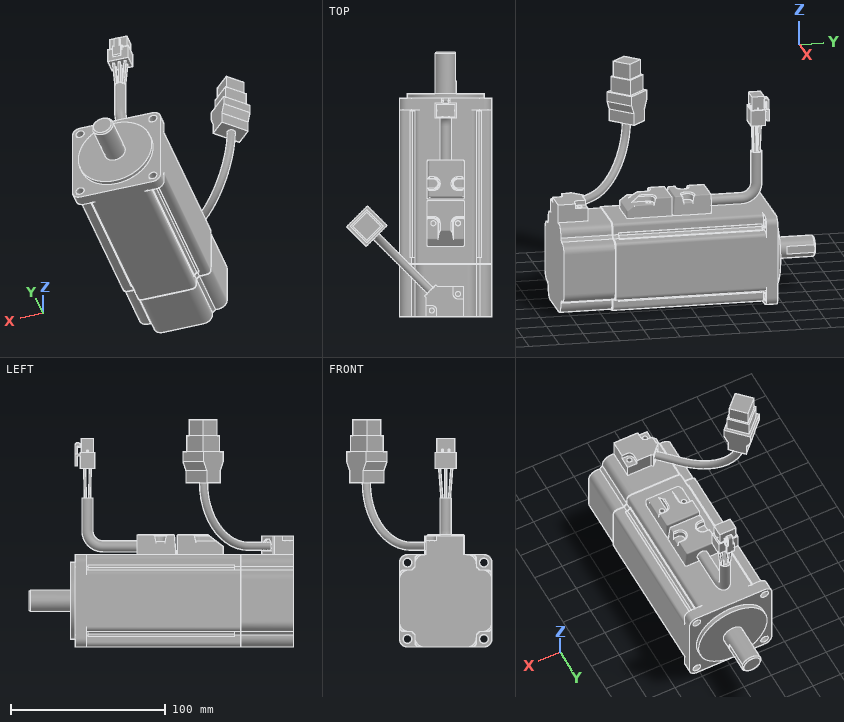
import cadquery as cq
import math


shaft_diameter = 14.0
shaft_tip_y = 30.0
shaft_chamfer = 1.0
shaft_flat_x = 6.5
shaft_flat_start_y = 11.0
pilot_diameter = 50.0
pilot_height = 3.0

frame_size = 60.0
half_frame = frame_size / 2
flange_thickness = 7.5
flange_corner_radius = 5.3
bolt_circle_diameter = 70.0
bolt_pitch = bolt_circle_diameter / math.sqrt(2)
bolt_hole_diameter = 5.5

rear_y = -141.6
stator_front_y = -8.4
stator_rear_y = -103.3
end_bell_rear_y = -107.2
cap_front_y = -107.6
relief_wall = 20.0
relief_chamfer = 2.1
body_round = 3.0
cap_round = 6.3
seam_depth = 0.2
stator_groove_depth = 0.3
stator_groove_end = 23.2
stator_groove_chamfer = 1.8

housing_half_width = 12.1
housing_top_z = 42.9
housing_edge_radius = 1.0
outlet_front_y = -40.0
outlet_rear_y = -65.4
outlet_draft_inset = 1.0
cover_front_y = -66.1
cover_rear_y = -96.1
cover_slope_start_y = -86.0
cover_slope_end_z = 35.2

pocket_x = 8.0
pocket_floor_radius = 3.0
pocket_wall_radius = 3.7
pocket_rim_radius = 4.5
pocket_rim_height = 0.9
outlet_pocket_y = -55.3
outlet_pocket_floor_z = 38.3
cover_pocket_y = -81.0
cover_pocket_floor_z = 38.8
screw_hole_diameter = 3.3

box_left_x = -12.6
box_right_x = 11.7
box_front_y = -122.0
box_top_z = 42.0
box_corner_cut = 7.25
nozzle_thickness = 1.55
box_screws = [(8.0, -126.8, 1), (-9.0, -137.5, -1)]
box_pocket_radius = 3.2
box_pocket_floor_z = 38.9
nozzle_slot_width = 7.0
nozzle_slot_bottom_z = 32.2
nozzle_slot_top_z = 40.1

cable_z = 35.3
power_cable_diameter = 7.4
power_plug_y = -8.0
power_bend_radius = 10.0
power_sheath_end_z = 66.7
wire_diameter = 1.5
wire_overlap = 1.0
wire_bottom_pitch = (2.4, 2.7)
wire_top_pitch = (4.0, 3.7)
plug_base_z = 85.7
plug_shoulder_z = 96.2
plug_top_z = 105.2
plug_base_size = (14.0, 9.6)
plug_top_size = (11.8, 8.1)
window_x = 2.1
window_width = 0.8
window_height = 2.1
cross_window_height = 1.2

latch_outer_y = 0.1
latch_thickness = 1.5
latch_bottom_z = 87.2
latch_stub_z = (93.8, 95.2)
latch_lever_width = 5.4
latch_hook_width = 3.4
hook_outer_radius = 1.75
hook_center_z = 100.8
hook_gap = 0.8
hook_gap_center_z = 99.8
hook_tip_z = 99.4

encoder_cable_diameter = 5.4
encoder_bend_radius = 41.1
encoder_plug_x = -51.1
encoder_plug_y = -82.9
encoder_plug_z = 76.4
encoder_taper_start_z = 84.3
encoder_taper_end_z = 90.2
encoder_shoulder_z = 96.6
encoder_collar_z = 107.0
encoder_top_z = 117.37
encoder_plug_depth = 19.2
encoder_neck_width = 12.4
encoder_plug_width = 18.0
encoder_collar_size = 15.1
encoder_tip_size = 12.9


def block(x_range, y_range, z_range):
    """Axis-aligned box given by its limits."""
    size = [limits[1] - limits[0] for limits in (x_range, y_range, z_range)]
    corner = (x_range[0], y_range[0], z_range[0])
    return cq.Workplane("XY").box(*size, centered=False).translate(corner)


def cross_section(start_y):
    """Sketch plane across the motor axis; extrusion runs toward -Y."""
    return cq.Workplane("XZ", origin=(0, start_y, 0))


def make_shaft():
    shaft = cross_section(shaft_tip_y).circle(shaft_diameter / 2).extrude(shaft_tip_y)
    shaft = shaft.faces(">Y").chamfer(shaft_chamfer)
    flat = block((shaft_flat_x, shaft_diameter), (shaft_flat_start_y, shaft_tip_y),
                 (-shaft_diameter, shaft_diameter))
    pilot = cross_section(pilot_height).circle(pilot_diameter / 2).extrude(pilot_height)
    return shaft.cut(flat).union(pilot)


def make_flange():
    flange = cross_section(0).rect(frame_size, frame_size).extrude(flange_thickness)
    flange = flange.edges("|Y").fillet(flange_corner_radius)
    holes = (cross_section(0).rect(bolt_pitch, bolt_pitch, forConstruction=True)
             .vertices().circle(bolt_hole_diameter / 2).extrude(flange_thickness))
    return flange.cut(holes)


def corner_blocks(start_y, end_y, inner, outer):
    """Four square bars along Y, one per corner, spanning inner to outer in |X| and |Z|."""
    middle = (inner + outer) / 2
    return (cross_section(start_y).rect(2 * middle, 2 * middle, forConstruction=True)
            .vertices().rect(outer - inner, outer - inner).extrude(start_y - end_y))


def chamfered_corner_blocks(start_y, end_y, inner, outer, chamfer):
    """Corner bars with the edge nearest the motor axis chamfered."""
    bars = corner_blocks(start_y, end_y, inner, outer)
    near_axis = cq.selectors.BoxSelector((-inner - chamfer, start_y, -inner - chamfer),
                                         (inner + chamfer, end_y, inner + chamfer))
    return bars.edges("|Y").edges(near_axis).chamfer(chamfer)


def relieved_prism(start_y, end_y, round_radius, inset=0.0):
    """Square prism whose four corners are stepped back around the bolts."""
    size = frame_size - 2 * inset
    prism = cross_section(start_y).rect(size, size).extrude(start_y - end_y)
    prism = prism.cut(chamfered_corner_blocks(start_y, end_y, relief_wall - inset, half_frame,
                                              relief_chamfer))
    outer_edges = "|Y and (>X or <X or >Z or <Z)"
    return prism.edges(outer_edges).fillet(round_radius)


def make_body():
    body = relieved_prism(-flange_thickness, end_bell_rear_y, body_round)
    groove = chamfered_corner_blocks(stator_front_y, stator_rear_y,
                                     relief_wall - stator_groove_depth, stator_groove_end,
                                     stator_groove_chamfer)
    seam = relieved_prism(end_bell_rear_y, cap_front_y, body_round, seam_depth)
    cap = relieved_prism(cap_front_y, rear_y, cap_round)
    return body.cut(groove).union(seam).union(cap)


def screw_pocket(x, y, floor_z):
    """Conical screw recess with a flared rim, open upward."""
    flare_z = housing_top_z - pocket_rim_height
    wall = (cq.Workplane("XY", origin=(x, y, floor_z)).circle(pocket_floor_radius)
            .workplane(offset=flare_z - floor_z).circle(pocket_wall_radius).loft())
    rim = (cq.Workplane("XY", origin=(x, y, flare_z)).circle(pocket_wall_radius)
           .workplane(offset=pocket_rim_height).circle(pocket_rim_radius).loft())
    return wall.union(rim)


def pocket_channel(x, y, floor_z, length, direction):
    """Trench with the pocket's section, running level from (x, y)."""
    flare_z = housing_top_z - pocket_rim_height
    half_section = [(pocket_floor_radius, floor_z), (pocket_wall_radius, flare_z),
                    (pocket_rim_radius, housing_top_z)]
    mirrored = [(-across, z) for across, z in reversed(half_section)]
    across_dir = (-direction[1], direction[0], 0)
    plane = cq.Plane(origin=(x, y, 0), xDir=across_dir, normal=(direction[0], direction[1], 0))
    return cq.Workplane(plane).polyline(half_section + mirrored).close().extrude(length)


def round_open_floors(housing, floor_z, y):
    """Round the outer edge where each pocket floor meets the housing side."""
    for side in (-1, 1):
        outer_edge = cq.selectors.NearestToPointSelector((side * housing_half_width, y, floor_z))
        housing = housing.edges(outer_edge).fillet(housing_edge_radius)
    return housing


def make_outlet_housing():
    length = outlet_front_y - outlet_rear_y
    top_length = length - outlet_draft_inset
    height = housing_top_z - half_frame
    top_shift = outlet_draft_inset / 2
    center_y = (outlet_front_y + outlet_rear_y) / 2
    housing = (cq.Workplane("XY", origin=(0, center_y, half_frame))
               .rect(2 * housing_half_width, length)
               .workplane(offset=height).center(0, top_shift)
               .rect(2 * (housing_half_width - outlet_draft_inset), top_length).loft(ruled=True))
    housing = housing.edges("not <Z").fillet(housing_edge_radius)
    for side in (-1, 1):
        x = side * pocket_x
        housing = housing.cut(screw_pocket(x, outlet_pocket_y, outlet_pocket_floor_z))
        housing = housing.cut(pocket_channel(x, outlet_pocket_y, outlet_pocket_floor_z,
                                             housing_half_width, (side, 0)))
    return round_open_floors(housing, outlet_pocket_floor_z, outlet_pocket_y)


def make_cover_housing():
    side_profile = [(cover_front_y, half_frame), (cover_front_y, housing_top_z),
                    (cover_slope_start_y, housing_top_z), (cover_rear_y, cover_slope_end_z),
                    (cover_rear_y, half_frame)]
    housing = (cq.Workplane("YZ", origin=(-housing_half_width, 0, 0))
               .polyline(side_profile).close().extrude(2 * housing_half_width))
    housing = housing.edges("not <Z").fillet(housing_edge_radius)
    for side in (-1, 1):
        x = side * pocket_x
        tools = [screw_pocket(x, cover_pocket_y, cover_pocket_floor_z),
                 pocket_channel(x, cover_pocket_y, cover_pocket_floor_z,
                                cover_pocket_y - cover_rear_y, (0, -1)),
                 pocket_channel(x, cover_pocket_y, cover_pocket_floor_z,
                                housing_half_width, (side, 0))]
        inner_x = x - side * pocket_floor_radius
        side_clearance = block(sorted((inner_x, 2 * side * housing_half_width)),
                               (cover_rear_y, cover_pocket_y),
                               (cover_pocket_floor_z, housing_top_z))
        hole = (cq.Workplane("XY", origin=(x, cover_pocket_y, half_frame))
                .circle(screw_hole_diameter / 2).extrude(housing_top_z - half_frame))
        for tool in tools + [side_clearance, hole]:
            housing = housing.cut(tool)
    return round_open_floors(housing, cover_pocket_floor_z, cover_pocket_y)


corner_mid_x = box_left_x + box_corner_cut / 2
corner_mid_y = box_front_y - box_corner_cut / 2


def diagonal_plane(x, y, z):
    """Plane facing the encoder cable direction: local x level, local y up."""
    return cq.Plane(origin=(x, y, z), xDir=(-1, -1, 0), normal=(-1, 1, 0))


def make_encoder_box():
    outline = [(box_left_x, rear_y), (box_right_x, rear_y), (box_right_x, box_front_y),
               (box_left_x + box_corner_cut, box_front_y),
               (box_left_x, box_front_y - box_corner_cut)]
    height = box_top_z - half_frame
    box = (cq.Workplane("XY", origin=(0, 0, half_frame))
           .polyline(outline).close().extrude(height))
    face = diagonal_plane(corner_mid_x, corner_mid_y, half_frame)
    nozzle_width = box_corner_cut * math.sqrt(2)
    nozzle = (cq.Workplane(face).center(0, height / 2)
              .rect(nozzle_width, height).extrude(nozzle_thickness))
    half_slot = nozzle_slot_width / 2
    sill = nozzle_slot_bottom_z - half_frame
    arch_top = nozzle_slot_top_z - half_frame
    slot = (cq.Workplane(face).moveTo(-half_slot, sill).lineTo(half_slot, sill)
            .lineTo(half_slot, arch_top - half_slot)
            .threePointArc((0, arch_top), (-half_slot, arch_top - half_slot))
            .close().extrude(nozzle_thickness))
    box = box.union(nozzle.cut(slot))
    for x, y, side in box_screws:
        reach = 2 * box_pocket_radius
        outer_x = x + side * reach
        outer_y = y + side * reach
        inner_x = x - side * box_pocket_radius
        inner_y = y - side * box_pocket_radius
        pocket = block(sorted((inner_x, outer_x)), sorted((inner_y, outer_y)),
                       (box_pocket_floor_z, box_top_z))
        inner_corner = cq.selectors.NearestToPointSelector((inner_x, inner_y, box_pocket_floor_z))
        pocket = pocket.edges("|Z").edges(inner_corner).fillet(box_pocket_radius)
        hole = (cq.Workplane("XY", origin=(x, y, half_frame))
                .circle(screw_hole_diameter / 2).extrude(height))
        box = box.cut(pocket).cut(hole)
    return box


def make_power_cable():
    radius = power_cable_diameter / 2
    bend_start_y = power_plug_y - power_bend_radius
    bend_top_z = cable_z + power_bend_radius
    half_turn = power_bend_radius * math.sqrt(0.5)
    path = (cq.Workplane("YZ").moveTo(outlet_front_y - housing_edge_radius, cable_z)
            .lineTo(bend_start_y, cable_z)
            .threePointArc((bend_start_y + half_turn, bend_top_z - half_turn),
                           (power_plug_y, bend_top_z))
            .lineTo(power_plug_y, power_sheath_end_z))
    start = cross_section(outlet_front_y - housing_edge_radius).center(0, cable_z)
    return start.circle(radius).sweep(path)


def make_wires():
    wires = cq.Workplane("XY")
    for column in (-1, 0, 1):
        for row in (-0.5, 0.5):
            bottom = cq.Vector(column * wire_bottom_pitch[0],
                               power_plug_y + row * wire_bottom_pitch[1], power_sheath_end_z - wire_overlap)
            top = cq.Vector(column * wire_top_pitch[0],
                            power_plug_y + row * wire_top_pitch[1], plug_base_z + wire_overlap)
            run = top - bottom
            wire = cq.Solid.makeCylinder(wire_diameter / 2, run.Length, bottom, run)
            wires = wires.add(wire)
    return wires.combine()


def make_power_plug():
    base = (cq.Workplane("XY", origin=(0, power_plug_y, plug_base_z))
            .rect(*plug_base_size).extrude(plug_shoulder_z - plug_base_z))
    top = (cq.Workplane("XY", origin=(0, power_plug_y, plug_shoulder_z))
           .rect(*plug_top_size).extrude(plug_top_z - plug_shoulder_z))
    window_z = plug_shoulder_z + window_height / 2
    for x in (-window_x, window_x):
        window = (cq.Workplane("XY").box(window_width, plug_base_size[1], window_height)
                  .translate((x, power_plug_y, window_z)))
        top = top.cut(window)
    cross_window = (cq.Workplane("XY").box(plug_base_size[0], window_width, cross_window_height)
                    .translate((0, power_plug_y, plug_shoulder_z + cross_window_height / 2)))
    return base.union(top.cut(cross_window))


def make_latch():
    inner_y = latch_outer_y - latch_thickness
    half_lever = latch_lever_width / 2
    plug_face_y = power_plug_y + plug_base_size[1] / 2
    tip_y = latch_outer_y - 2 * hook_outer_radius
    hook_center_y = latch_outer_y - hook_outer_radius
    lever = block((-half_lever, half_lever), (inner_y, latch_outer_y),
                  (latch_bottom_z, latch_stub_z[1]))
    stub = block((-half_lever, half_lever), (plug_face_y, latch_outer_y), latch_stub_z)
    hook = (cq.Workplane("YZ", origin=(-latch_hook_width / 2, 0, 0))
            .moveTo(latch_outer_y, latch_stub_z[0])
            .lineTo(latch_outer_y, hook_center_z)
            .threePointArc((hook_center_y, hook_center_z + hook_outer_radius),
                           (tip_y, hook_center_z))
            .lineTo(tip_y, hook_tip_z)
            .lineTo(inner_y - hook_gap, hook_tip_z)
            .lineTo(inner_y - hook_gap, hook_gap_center_z)
            .threePointArc((inner_y - hook_gap / 2, hook_gap_center_z + hook_gap / 2),
                           (inner_y, hook_gap_center_z))
            .lineTo(inner_y, latch_stub_z[0])
            .close().extrude(latch_hook_width))
    return lever.union(stub).union(hook)


def make_encoder_cable():
    start_plane = diagonal_plane(corner_mid_x, corner_mid_y, cable_z)
    run = (encoder_plug_y - corner_mid_y - encoder_plug_x + corner_mid_x) / math.sqrt(2)
    straight = run - encoder_bend_radius
    bend_top = encoder_bend_radius
    half_turn = encoder_bend_radius * math.sqrt(0.5)
    path_plane = cq.Plane(origin=(corner_mid_x, corner_mid_y, cable_z),
                          xDir=(-1, 1, 0), normal=(1, 1, 0))
    path = (cq.Workplane(path_plane).lineTo(straight, 0)
            .threePointArc((straight + half_turn, bend_top - half_turn), (run, bend_top)))
    return cq.Workplane(start_plane).circle(encoder_cable_diameter / 2).sweep(path)


def make_encoder_plug():
    """Plug turned 45 degrees; built square to X and Y, then rotated into place."""
    half_neck = encoder_neck_width / 2
    half_width = encoder_plug_width / 2
    right_side = [(half_neck, encoder_plug_z), (half_neck, encoder_taper_start_z),
                  (half_width, encoder_taper_end_z), (half_width, encoder_shoulder_z)]
    left_side = [(-x, z) for x, z in reversed(right_side)]
    shell = (cross_section(encoder_plug_depth / 2)
             .polyline(right_side + left_side).close().extrude(encoder_plug_depth))
    collar = (cq.Workplane("XY", origin=(0, 0, encoder_shoulder_z))
              .rect(encoder_collar_size, encoder_collar_size)
              .extrude(encoder_collar_z - encoder_shoulder_z))
    tip = (cq.Workplane("XY", origin=(0, 0, encoder_collar_z))
           .rect(encoder_tip_size, encoder_tip_size)
           .extrude(encoder_top_z - encoder_collar_z))
    plug = shell.union(collar).union(tip)
    plug = plug.rotate((0, 0, 0), (0, 0, 1), -45)
    return plug.translate((encoder_plug_x, encoder_plug_y, 0))


result = make_shaft()
features = [
    make_flange(),
    make_body(),
    make_outlet_housing(),
    make_cover_housing(),
    make_encoder_box(),
    make_power_cable(),
    make_wires(),
    make_power_plug(),
    make_latch(),
    make_encoder_cable(),
    make_encoder_plug(),
]
for feature in features:
    result = result.union(feature)